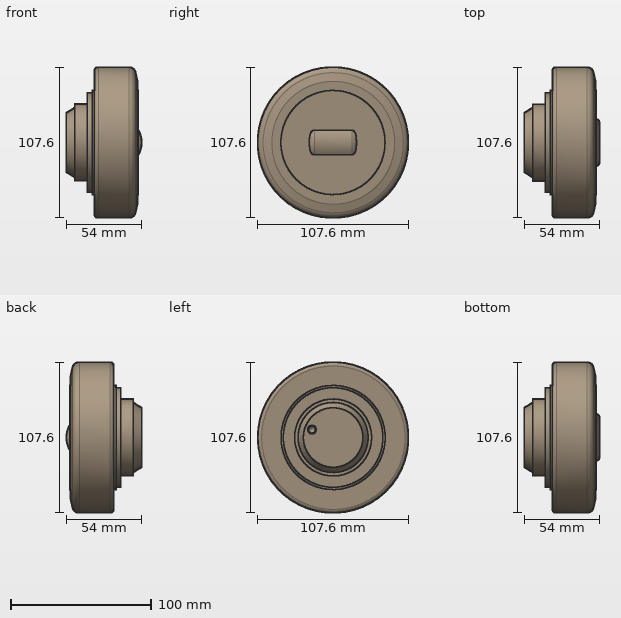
import cadquery as cq
import math

nose_end = 6.0
hub_end = 15.0
shoulder_end = 18.4
tyre_start = 20.0
tyre_flat_end = 44.7
tyre_end = 50.9
disc_end = 51.5
overall_width = 54.0

nose_tip_radius = 21.2
nose_base_radius = 25.0
hub_radius = 27.5
shoulder_radius = 35.5
disc_radius = 37.2
tyre_radius = 53.8

inner_rounding = 2.7
outer_rounding = 5.0
side_taper = math.radians(13)

roller_radius = 16.7
roller_length = 34.0
roller_rounding = 3.6

hole_y = 15.1
hole_z = 5.6
hole_radius = 2.5
hole_mouth_radius = 3.0
hole_depth = 12.9
drill_tip_angle = math.radians(120)


def cylinder(start, end, radius):
    """Solid cylinder about the X axis."""
    return cq.Workplane("YZ").workplane(offset=start).circle(radius).extrude(end - start)


def revolve_about_x(profile):
    """Full turn of a closed XY profile about the X axis."""
    return profile.close().revolve(360, (0, 0, 0), (1, 0, 0))


def make_nose():
    """Conical nose on the free end of the hub."""
    return revolve_about_x(
        cq.Workplane("XY")
        .lineTo(0, nose_tip_radius)
        .lineTo(nose_end, nose_base_radius)
        .lineTo(nose_end, 0)
    )


def make_tyre():
    """Tyre with a rounded inner edge and a rounded, tapered outer edge."""
    taper_start_x = tyre_flat_end + outer_rounding * math.cos(side_taper)
    taper_start_radius = tyre_radius - outer_rounding * (1 - math.sin(side_taper))
    taper_end_radius = taper_start_radius - (tyre_end - taper_start_x) / math.tan(side_taper)
    return revolve_about_x(
        cq.Workplane("XY")
        .moveTo(tyre_start, 0)
        .lineTo(tyre_start, tyre_radius - inner_rounding)
        .radiusArc((tyre_start + inner_rounding, tyre_radius), inner_rounding)
        .lineTo(tyre_flat_end, tyre_radius)
        .radiusArc((taper_start_x, taper_start_radius), outer_rounding)
        .lineTo(tyre_end, taper_end_radius)
        .lineTo(tyre_end, 0)
    )


def make_roller():
    """Side roller with rounded ends; all but its outer edge is buried in the tyre and disc."""
    return (
        cq.Workplane("XZ")
        .center(overall_width - roller_radius, 0)
        .circle(roller_radius)
        .extrude(roller_length / 2, both=True)
        .faces("<Y or >Y")
        .edges()
        .fillet(roller_rounding)
    )


def make_hole():
    """Cutter for the blind hole: 45 degree countersink, straight bore and drill tip."""
    countersink_depth = hole_mouth_radius - hole_radius
    tip_length = hole_radius / math.tan(drill_tip_angle / 2)
    return revolve_about_x(
        cq.Workplane("XY")
        .lineTo(0, hole_mouth_radius)
        .lineTo(countersink_depth, hole_radius)
        .lineTo(hole_depth, hole_radius)
        .lineTo(hole_depth + tip_length, 0)
    ).translate((0, hole_y, hole_z))


result = (
    make_nose()
    .union(cylinder(nose_end, hub_end, hub_radius))
    .union(cylinder(hub_end, shoulder_end, shoulder_radius))
    .union(cylinder(shoulder_end, disc_end, disc_radius))
    .union(make_tyre())
    .union(make_roller())
    .cut(make_hole())
)